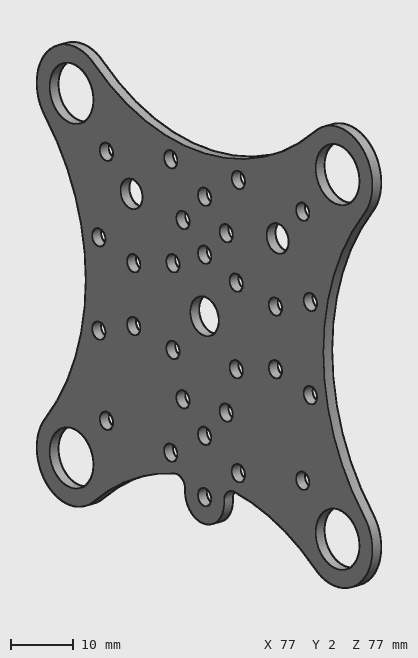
import cadquery as cq
import math

thickness = 2.0
corner_offset = 30.5
corner_radius = 8.0
waist_half_width = 27.25

tab_center_z = -30.25
tab_radius = 4.5
tab_fillet = 2.0

corner_hole = 10.0
center_hole = 6.5
shoulder_hole = 5.0
small_hole = 3.0

shoulder_offset = 16.75
mirrored_small_holes = [
    (22.5, 22.5),
    (7.75, 24.53),
    (24.25, 7.8),
    (4.95, 15.0),
    (7.25, 7.25),
    (16.25, 5.25),
]
axis_small_holes = [
    (0, 20.0),
    (0, 10.3),
    (0, -20.0),
    (0, tab_center_z),
]

waist_inset = corner_offset - waist_half_width
side_radius = (corner_offset**2 + waist_inset**2 - corner_radius**2) / (2 * (corner_radius + waist_inset))
side_center = waist_half_width + side_radius

tangent_ratio = side_radius / (side_radius + corner_radius)
tangent_along = corner_offset * tangent_ratio
tangent_out = side_center - (side_center - corner_offset) * tangent_ratio
corner_tip = corner_offset + corner_radius / math.sqrt(2)


def quadrants(x, z):
    """Mirror a position into all four quadrants."""
    return [(sx * x, sz * z) for sx in (1, -1) for sz in (1, -1)]


def quarter_turn(point, turns):
    """Turn a point clockwise about the centre by a number of quarter turns."""
    x, z = point
    for _ in range(turns):
        x, z = z, -x
    return (x, z)


def make_plate():
    """Concave sides and rounded corners, one of each per quarter turn."""
    outline = cq.Workplane("XZ").moveTo(-tangent_along, tangent_out)
    for turn in range(4):
        side_middle = quarter_turn((0, waist_half_width), turn)
        side_end = quarter_turn((tangent_along, tangent_out), turn)
        corner_middle = quarter_turn((corner_tip, corner_tip), turn)
        corner_end = quarter_turn((tangent_out, tangent_along), turn)
        outline = outline.threePointArc(side_middle, side_end)
        outline = outline.threePointArc(corner_middle, corner_end)
    return outline.close().extrude(thickness)


def add_tab(plate):
    """Round-ended tab below the lower side, blended into it with fillets."""
    tab = (
        cq.Workplane("XZ")
        .moveTo(-tab_radius, 0)
        .lineTo(-tab_radius, tab_center_z)
        .threePointArc((0, tab_center_z - tab_radius), (tab_radius, tab_center_z))
        .lineTo(tab_radius, 0)
        .close()
        .extrude(thickness)
    )
    root_z = -(side_center - math.sqrt(side_radius**2 - tab_radius**2))
    joined = plate.union(tab)
    for side in (-1, 1):
        root = (side * tab_radius, -thickness / 2, root_z)
        joined = joined.edges(cq.NearestToPointSelector(root)).fillet(tab_fillet)
    return joined


def drill(plate, points, diameter):
    """Cut round holes through the full thickness."""
    holes = cq.Workplane("XZ").pushPoints(points).circle(diameter / 2).extrude(thickness)
    return plate.cut(holes)


result = add_tab(make_plate())
result = drill(result, quadrants(corner_offset, corner_offset), corner_hole)
result = drill(result, [(0, 0)], center_hole)
result = drill(result, [(side * shoulder_offset, shoulder_offset) for side in (-1, 1)], shoulder_hole)
result = drill(result, axis_small_holes, small_hole)
for hole_x, hole_z in mirrored_small_holes:
    result = drill(result, quadrants(hole_x, hole_z), small_hole)